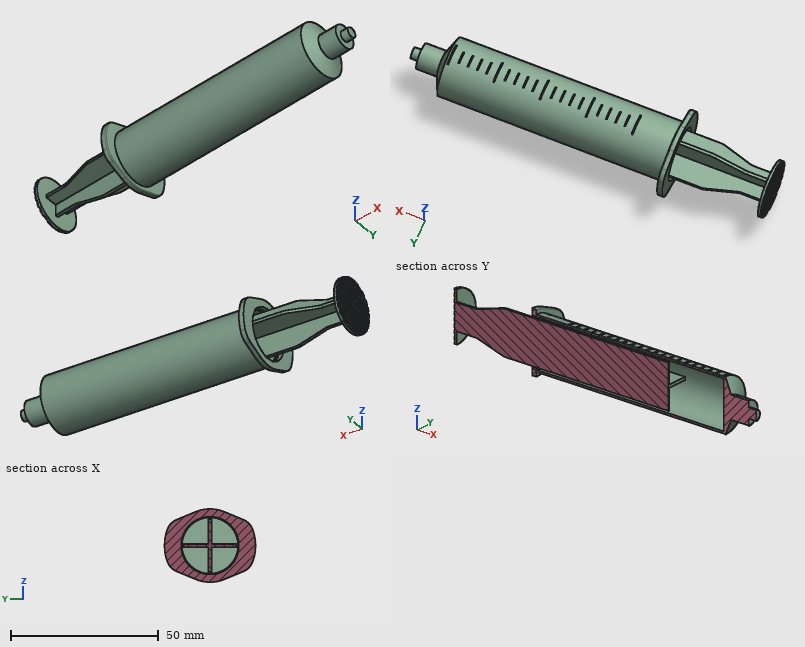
import cadquery as cq
import math


barrel_diameter = 21.4
bore_diameter = 19.4
shoulder_start = 84.6
collar_start = 87.2
collar_end = 94.9
tip_end = 98.0
collar_diameter = 9.4
tip_end_diameter = 4.1
luer_taper = 0.06
tip_base_diameter = tip_end_diameter + luer_taper * (tip_end - collar_end)

ridge_diameter = 19.0
ridge_start = 1.8
ridge_width = 1.0

flange_width = 31.0
flange_height = 24.94
flange_thickness = 2.0
flat_slope = 22.5
flange_corner_radius = 6.0
flange_edge_radius = 0.3

capacity = 20
major_step = 5
bore_area = math.pi * bore_diameter**2 / 4
cubic_mm_per_ml = 1000
mark_pitch = cubic_mm_per_ml / bore_area
zero_mark = 83.6
mark_width = 0.4
mark_depth = 0.1
major_mark_length = 7.7
minor_mark_length = 4.4

bore_floor = zero_mark

overall_length = 132.06
disc_face = tip_end - overall_length
disc_diameter = 20.5
disc_thickness = 1.2
disc_back = disc_face + disc_thickness
rib_thickness = 1.2
neck_width = 10.8
stem_width = 18.0
neck_end = -24.1
taper_end = -12.1
neck_bend_radius = 5.0
stem_bend_radius = 7.0
pushed_in_clearance = 10.0
stem_end = bore_floor + disc_face + pushed_in_clearance

groove_count = 9
groove_pitch = disc_diameter / groove_count
groove_width = groove_pitch / 2
groove_depth = 0.2


def cylinder(diameter, start, end):
    """Cylinder on the X axis from start to end."""
    return cq.Workplane("YZ", origin=(start, 0, 0)).circle(diameter / 2).extrude(end - start)


def make_flange():
    """Round plate with four slanted flats, rounded where the flats meet."""
    slope = math.radians(flat_slope)
    peak_radius = flange_height / 2
    peak_y = peak_radius / math.sin(slope)
    peak_z = peak_radius / math.cos(slope)
    rhombus = (
        cq.Workplane("YZ")
        .polyline([(peak_y, 0), (0, peak_z), (-peak_y, 0), (0, -peak_z)])
        .close()
        .extrude(flange_thickness)
        .edges("|X and (>Z or <Z)")
        .fillet(peak_radius)
    )
    plate = rhombus.intersect(cylinder(flange_width, 0, flange_thickness))
    corner_min_y = barrel_diameter / 2
    for side in (1, -1):
        corner_zone = cq.selectors.BoxSelector(
            (0, side * corner_min_y, -peak_radius),
            (flange_thickness, side * flange_width, peak_radius),
        )
        plate = plate.edges("|X").edges(corner_zone).fillet(flange_corner_radius)
    return plate.faces(">X").edges().fillet(flange_edge_radius)


def make_marks():
    """Shallow bars around the top of the barrel, one per millilitre."""
    band = cylinder(barrel_diameter, 0, shoulder_start).cut(
        cylinder(barrel_diameter - 2 * mark_depth, 0, shoulder_start)
    )
    bars = cq.Workplane("XY")
    for volume in range(capacity + 1):
        length = minor_mark_length if volume % major_step else major_mark_length
        bars = bars.add(
            cq.Workplane("XY")
            .center(zero_mark - volume * mark_pitch, 0)
            .rect(mark_width, length)
            .extrude(barrel_diameter)
        )
    return band.intersect(cq.Workplane(cq.Compound.makeCompound(bars.vals())))


def make_barrel():
    """Hollow barrel with finger flange, conical shoulder and nozzle."""
    body = (
        cq.Workplane("XY")
        .moveTo(0, 0)
        .lineTo(0, barrel_diameter / 2)
        .lineTo(shoulder_start, barrel_diameter / 2)
        .lineTo(collar_start, collar_diameter / 2)
        .lineTo(collar_end, collar_diameter / 2)
        .lineTo(collar_end, tip_base_diameter / 2)
        .lineTo(tip_end, tip_end_diameter / 2)
        .lineTo(tip_end, 0)
        .close()
        .revolve(360, (0, 0, 0), (1, 0, 0))
    )
    ridge_end = ridge_start + ridge_width
    bore = (
        cylinder(bore_diameter, 0, ridge_start)
        .union(cylinder(ridge_diameter, ridge_start, ridge_end))
        .union(cylinder(bore_diameter, ridge_end, bore_floor))
    )
    return body.union(make_flange()).cut(bore).cut(make_marks())


def make_rib():
    """Flat rib in the XZ plane: narrow neck, taper, then full-width stem."""
    upper = [(disc_back, neck_width / 2), (neck_end, neck_width / 2),
             (taper_end, stem_width / 2), (stem_end, stem_width / 2)]
    lower = [(x, -z) for x, z in reversed(upper)]
    rib = cq.Workplane("XZ").polyline(upper + lower).close().extrude(rib_thickness / 2, both=True)
    for bend_x, radius in ((neck_end, neck_bend_radius), (taper_end, stem_bend_radius)):
        near_bend = cq.selectors.BoxSelector(
            (bend_x - rib_thickness, -rib_thickness, -stem_width),
            (bend_x + rib_thickness, rib_thickness, stem_width),
        )
        rib = rib.edges("|Y").edges(near_bend).fillet(radius)
    return rib


def make_plunger():
    """Grooved thumb disc on a stem of two crossed ribs."""
    disc = cylinder(disc_diameter, disc_face, disc_back)
    for index in range(groove_count):
        groove_z = (index - (groove_count - 1) / 2) * groove_pitch
        groove = cq.Workplane("XY").box(2 * groove_depth, disc_diameter, groove_width)
        disc = disc.cut(groove.translate((disc_face, 0, groove_z)))
    rib = make_rib()
    return disc.union(rib).union(rib.rotate((0, 0, 0), (1, 0, 0), 90))


barrel = make_barrel()
plunger = make_plunger()

result = cq.Compound.makeCompound([barrel.val(), plunger.val()])